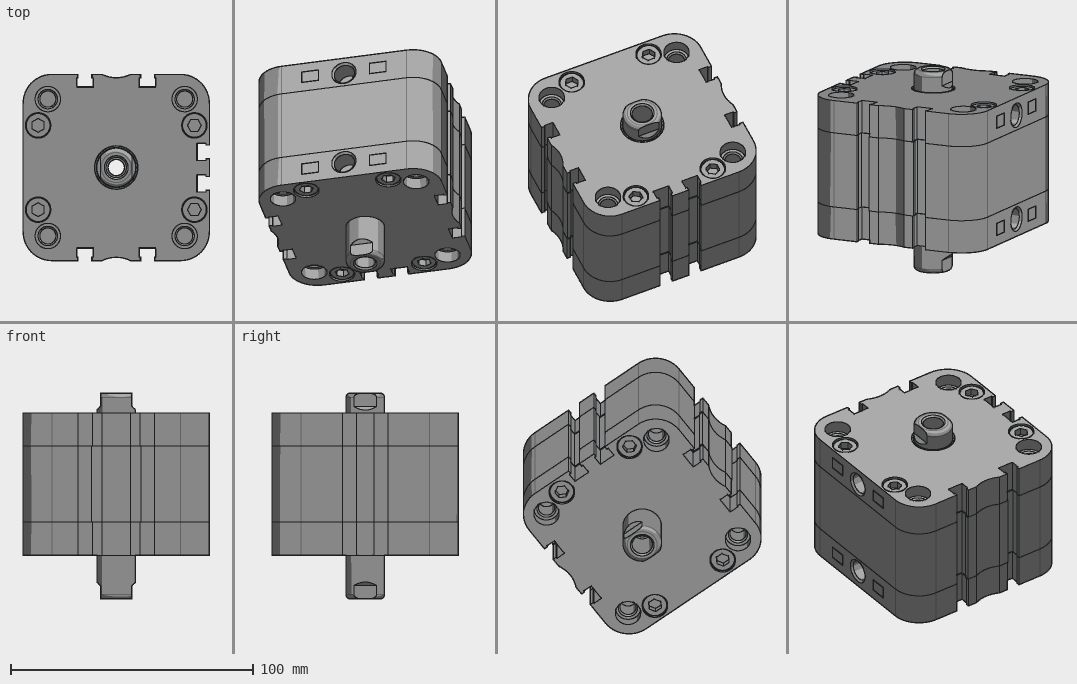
import cadquery as cq
import math


housing_side = 77.0
half_side = housing_side / 2
corner_radius = 12.0
cap_height = 13.7
barrel_height = 31.4
housing_height = 2 * cap_height + barrel_height
bore_diameter = 63.0
overcut = 1.0

slot_lip_depth = 1.5
front_slot_mouth_outer = 15.8
front_slot_pocket_outer = 16.3
barrel_slot_mouth_inner = 10.3
barrel_slot_pocket_inner = 9.7
barrel_slot_depth = 5.0
cap_slot_widening = 0.4
cap_slot_extra_depth = 0.4
side_slot_mouth_inner = 3.7
side_slot_mouth_outer = 9.3
side_slot_pocket_inner = 3.0
side_slot_pocket_outer = 10.0

scallop_half_width = 5.9
scallop_depth = 1.4

mount_offset = 28.25
mount_counterbore_diameter = 10.5
mount_counterbore_depth = 5.0
mount_hole_diameter = 6.65
mount_countersink_diameter = 8.0

screw_x = 32.25
screw_y = 17.4
screw_recess_diameter = 10.5
screw_recess_depth = 1.2
screw_head_diameter = 9.8
screw_head_drop = 0.6
hex_across_flats = 5.0
hex_depth = 3.0

port_height = 7.4
port_diameter = 8.57
port_mouth_diameter = 10.3
port_depth = 9.0

label_offset = 14.35
label_width = 7.1
label_height = 5.1
label_drop = 6.7
label_depth = 0.2

rod_diameter = 16.0
rod_top_projection = 8.15
rod_length = 85.0
rod_end_fillet = 1.8
rod_flat_width = 13.0
rod_flat_length = 5.5
rod_through_diameter = 6.65
rod_thread_diameter = 8.38
rod_thread_mouth_diameter = 9.8
rod_thread_depth = 15.0

wiper_opening_diameter = 18.0
wiper_lip_diameter = 17.7
wiper_mouth_diameter = 16.54
wiper_seat_diameter = 20.5
wiper_lip_height = 1.5
wiper_seat_height = 3.0


def cylinder(diameter, bottom, height):
    return cq.Workplane("XY").workplane(offset=bottom).circle(diameter / 2).extrude(height)


def cone(bottom_diameter, top_diameter, bottom, height):
    return cq.Workplane(
        cq.Solid.makeCone(bottom_diameter / 2, top_diameter / 2, height, pnt=cq.Vector(0, 0, bottom))
    )


def slot_cutter(mouth, pocket, depth, height):
    """T-slot opening through the +Y face; mouth and pocket are (start, end) along X."""
    floor = half_side - depth
    lip = half_side - slot_lip_depth
    outside = half_side + overcut
    outline = [
        (pocket[0], floor),
        (pocket[1], floor),
        (pocket[1], lip),
        (mouth[1], lip),
        (mouth[1], outside),
        (mouth[0], outside),
        (mouth[0], lip),
        (pocket[0], lip),
    ]
    return cq.Workplane("XY").polyline(outline).close().extrude(height)


def scallop_cutter(height):
    radius = (scallop_half_width**2 + scallop_depth**2) / (2 * scallop_depth)
    return (
        cq.Workplane("XY")
        .center(0, half_side - scallop_depth + radius)
        .circle(radius)
        .extrude(height)
    )


def profile_block(height, widening, extra_depth):
    """Rounded square with slots and scallops, standing on Z = 0."""
    block = cq.Workplane("XY").rect(housing_side, housing_side).extrude(height)
    block = block.edges("|Z").fillet(corner_radius)

    front_slot = slot_cutter(
        (barrel_slot_mouth_inner - widening, front_slot_mouth_outer),
        (barrel_slot_pocket_inner - widening, front_slot_pocket_outer),
        barrel_slot_depth + extra_depth,
        height,
    )
    face_cutters = front_slot.union(front_slot.mirror("YZ")).union(scallop_cutter(height))
    block = block.cut(face_cutters).cut(face_cutters.mirror("XZ"))

    side_slot = slot_cutter(
        (side_slot_mouth_inner, side_slot_mouth_outer),
        (side_slot_pocket_inner, side_slot_pocket_outer),
        barrel_slot_depth + extra_depth,
        height,
    ).rotate((0, 0, 0), (0, 0, 1), -90)
    return block.cut(side_slot).cut(side_slot.mirror("XZ"))


def mount_hole_cutter():
    """Counterbored, countersunk hole through a cap."""
    seat = cap_height - mount_counterbore_depth
    sink = (mount_countersink_diameter - mount_hole_diameter) / 2
    hole = cylinder(mount_hole_diameter, 0, cap_height)
    hole = hole.union(cone(mount_hole_diameter, mount_countersink_diameter, seat - sink, sink))
    return hole.union(cylinder(mount_counterbore_diameter, seat, mount_counterbore_depth))


def screw_cutter(hex_angle):
    """Recess that leaves a sunken screw head with a hexagon socket."""
    head_top = cap_height - screw_head_drop
    recess_floor = cap_height - screw_recess_depth
    recess = cylinder(screw_recess_diameter, recess_floor, screw_recess_depth)
    head = cylinder(screw_head_diameter, recess_floor, head_top - recess_floor)
    socket = (
        cq.Workplane("XY")
        .workplane(offset=head_top - hex_depth)
        .polygon(6, hex_across_flats / math.cos(math.pi / 6))
        .extrude(hex_depth)
        .rotate((0, 0, 0), (0, 0, 1), hex_angle)
    )
    return recess.cut(head).union(socket)


def port_cutter(height):
    """Blind port with a chamfered mouth, running in from the -X face."""
    mouth = (port_mouth_diameter - port_diameter) / 2
    port = cylinder(port_diameter, 0, port_depth)
    port = port.union(cone(port_mouth_diameter, port_diameter, 0, mouth))
    return port.rotate((0, 0, 0), (0, 1, 0), 90).translate((-half_side, 0, height))


def label_cutter():
    """Pair of label recesses in the -X face."""
    return (
        cq.Workplane("YZ")
        .workplane(offset=-half_side)
        .pushPoints([(side * label_offset, cap_height - label_drop) for side in (-1, 1)])
        .rect(label_width, label_height)
        .extrude(label_depth)
    )


def make_cap():
    """Cap with its outer face at Z = cap_height and its inner face at Z = 0."""
    cap = profile_block(cap_height, cap_slot_widening, cap_slot_extra_depth)
    cap = cap.cut(port_cutter(cap_height - port_height)).cut(label_cutter())
    for x_sign in (-1, 1):
        hex_angle = 30 if x_sign < 0 else 0
        for y_sign in (-1, 1):
            mount_place = (x_sign * mount_offset, y_sign * mount_offset, 0)
            screw_place = (x_sign * screw_x, y_sign * screw_y, 0)
            cap = cap.cut(mount_hole_cutter().translate(mount_place))
            cap = cap.cut(screw_cutter(hex_angle).translate(screw_place))
    return cap.cut(cylinder(rod_diameter, 0, cap_height))


def make_lower_cap():
    return make_cap().rotate((0, 0, 0), (1, 0, 0), 180).translate((0, 0, cap_height))


def make_upper_cap():
    """Cap with a stepped seat for the wiper ring."""
    lip_base = cap_height - wiper_lip_height
    seat = cylinder(wiper_seat_diameter, lip_base - wiper_seat_height, wiper_seat_height)
    opening = cylinder(wiper_opening_diameter, lip_base, wiper_lip_height)
    return make_cap().cut(seat).cut(opening).translate((0, 0, cap_height + barrel_height))


def make_barrel():
    barrel = profile_block(barrel_height, 0, 0)
    return barrel.cut(cylinder(bore_diameter, 0, barrel_height)).translate((0, 0, cap_height))


def make_wiper():
    lip_base = housing_height - wiper_lip_height
    mouth = (wiper_mouth_diameter - rod_diameter) / 2
    ring = cylinder(wiper_seat_diameter, lip_base - wiper_seat_height, wiper_seat_height)
    ring = ring.union(cylinder(wiper_lip_diameter, lip_base, wiper_lip_height))
    ring = ring.cut(cylinder(rod_diameter, 0, housing_height))
    return ring.cut(cone(rod_diameter, wiper_mouth_diameter, housing_height - mouth, mouth))


def rod_flat_cutter():
    """Wrench flat on the +X side of the upper rod end, running out at 45 degrees."""
    flat = rod_flat_width / 2
    outside = rod_diameter / 2 + overcut
    flat_end = rod_length - rod_flat_length
    outline = [
        (flat, rod_length),
        (flat, flat_end),
        (outside, flat_end - (outside - flat)),
        (outside, rod_length),
    ]
    return cq.Workplane("XZ").polyline(outline).close().extrude(rod_diameter / 2, both=True)


def make_rod():
    rod = cylinder(rod_diameter, 0, rod_length).edges().fillet(rod_end_fillet)
    rod = rod.cut(cylinder(rod_through_diameter, 0, rod_length))

    mouth = (rod_thread_mouth_diameter - rod_thread_diameter) / 2
    thread = cylinder(rod_thread_diameter, rod_length - rod_thread_depth, rod_thread_depth)
    mouth_cone = cone(rod_thread_diameter, rod_thread_mouth_diameter, rod_length - mouth, mouth)
    flat = rod_flat_cutter()
    end_cutters = thread.union(mouth_cone)
    middle = (0, 0, rod_length / 2)
    for cutter in (end_cutters, flat, flat.mirror("YZ")):
        rod = rod.cut(cutter).cut(cutter.mirror("XY", middle))
    return rod.translate((0, 0, housing_height + rod_top_projection - rod_length))


lower_cap = make_lower_cap()
barrel = make_barrel()
upper_cap = make_upper_cap()
wiper = make_wiper()
rod = make_rod()

result = cq.Compound.makeCompound(
    [lower_cap.val(), barrel.val(), upper_cap.val(), wiper.val(), rod.val()]
)